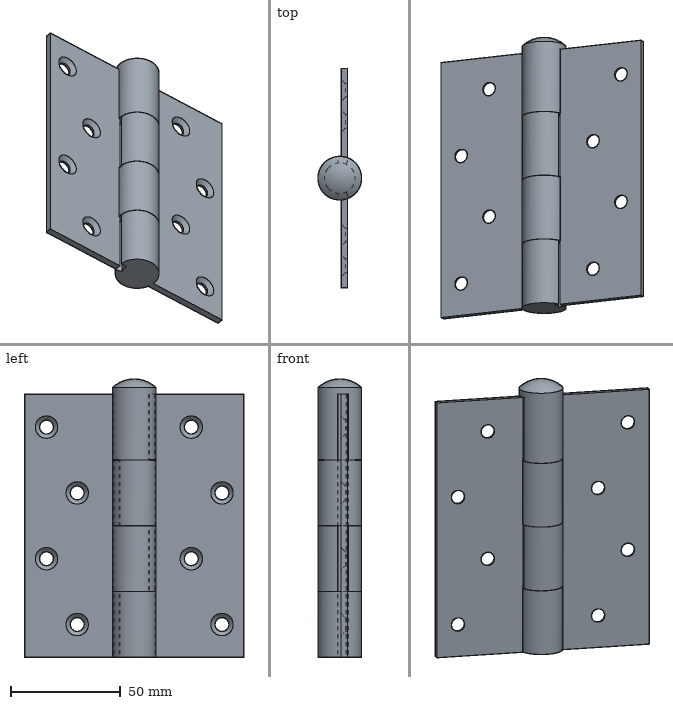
import cadquery as cq
import math


knuckle_diameter = 20.0
pin_diameter = 14.0
knuckle_count = 4
knuckle_length = 30.0
overall_height = 127.0
dome_height = 4.0
knuckle_gap = 0.1

overall_width = 100.0
leaf_thickness = 3.0
leaf_back_x = 0.6
leaf_free_edge_y = 9.5

slot_back_x = -1.0
slot_front_x = 4.1

screw_hole_diameter = 6.2
countersink_diameter = 10.2
countersink_angle = 90.0
wide_hole_y = 40.0
near_hole_y = 26.0

knuckle_radius = knuckle_diameter / 2
pin_radius = pin_diameter / 2
leaf_height = knuckle_count * knuckle_length
leaf_front_x = leaf_back_x + leaf_thickness
leaf_outer_y = overall_width / 2
dome_sphere_radius = (knuckle_radius**2 + dome_height**2) / (2 * dome_height)
shoulder_z = overall_height - dome_height
countersink_depth = (
    (countersink_diameter - screw_hole_diameter) / 2 / math.tan(math.radians(countersink_angle / 2))
)


def block(x_range, y_range, z_range):
    """Axis-aligned box spanning the given ranges."""
    sizes = [high - low for low, high in (x_range, y_range, z_range)]
    corner = (x_range[0], y_range[0], z_range[0])
    return cq.Workplane("XY").box(*sizes, centered=False).translate(corner)


def side_range(side, near_y, far_y):
    """Y range between two distances from the pin axis, on the side +1 or -1."""
    return tuple(sorted((side * near_y, side * far_y)))


def make_barrel():
    """Full-height barrel with a spherical top, revolved about the pin axis."""
    mid_angle = math.asin(knuckle_radius / dome_sphere_radius) / 2
    dome_mid_r = dome_sphere_radius * math.sin(mid_angle)
    dome_mid_z = overall_height - dome_sphere_radius * (1 - math.cos(mid_angle))
    return (
        cq.Workplane("XZ")
        .lineTo(knuckle_radius, 0)
        .lineTo(knuckle_radius, shoulder_z)
        .threePointArc((dome_mid_r, dome_mid_z), (0, overall_height))
        .close()
        .revolve(360, (0, 0, 0), (0, 1, 0))
    )


def make_pin():
    """Pin core that backs the clearance slots."""
    return cq.Workplane("XY").circle(pin_radius).extrude(leaf_height)


def make_slot(side, bottom_z):
    """Slot with radial walls through one knuckle, down to the pin, on the side +1 or -1."""
    reach = 2 * knuckle_radius
    angles = [math.asin(x / knuckle_radius) for x in (slot_back_x, slot_front_x)]
    wall_ends = [(reach * math.sin(angle), side * reach * math.cos(angle)) for angle in angles]
    sector = (
        cq.Workplane("XY", origin=(0, 0, bottom_z))
        .polyline([(0, 0)] + wall_ends)
        .close()
        .extrude(knuckle_length)
    )
    return sector.cut(make_pin())


def make_leaf(side):
    """Plain leaf plate on the side +1 or -1."""
    y_range = side_range(side, leaf_free_edge_y, leaf_outer_y)
    return block((leaf_back_x, leaf_front_x), y_range, (0, leaf_height))


def make_screw_hole(y, z):
    """Through hole with a countersink opening on the -X face of the leaf."""
    start = cq.Workplane("YZ", origin=(leaf_back_x, y, z))
    hole = start.circle(screw_hole_diameter / 2).extrude(leaf_thickness)
    cone = cq.Solid.makeCone(
        countersink_diameter / 2,
        screw_hole_diameter / 2,
        countersink_depth,
        pnt=cq.Vector(leaf_back_x, y, z),
        dir=cq.Vector(1, 0, 0),
    )
    return hole.union(cq.Workplane(cone))


def make_knuckle_gap(z):
    """Thin ring that separates two knuckles at height z and leaves the pin whole."""
    return (
        cq.Workplane("XY", origin=(0, 0, z - knuckle_gap / 2))
        .circle(knuckle_diameter)
        .circle(pin_radius)
        .extrude(knuckle_gap)
    )


result = make_barrel()

for index in range(knuckle_count):
    slot_side = 1 if index % 2 == 0 else -1
    result = result.cut(make_slot(slot_side, index * knuckle_length))

for index in range(1, knuckle_count):
    result = result.cut(make_knuckle_gap(index * knuckle_length))

for leaf_side in (1, -1):
    result = result.union(make_leaf(leaf_side))

for index in range(knuckle_count):
    hole_z = (index + 0.5) * knuckle_length
    hole_positions = (near_hole_y, -wide_hole_y) if index % 2 == 0 else (wide_hole_y, -near_hole_y)
    for hole_y in hole_positions:
        result = result.cut(make_screw_hole(hole_y, hole_z))